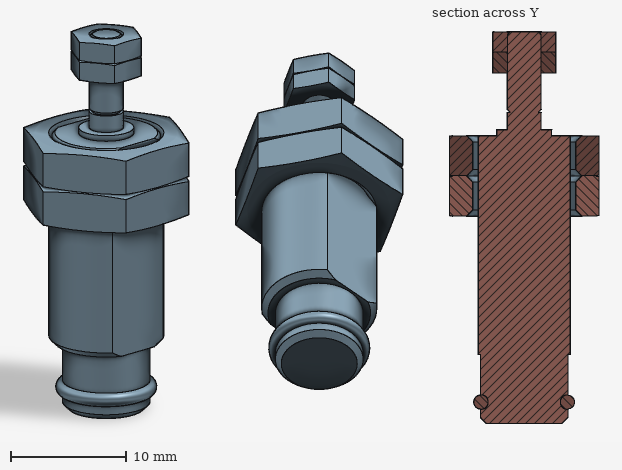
import cadquery as cq
import math

TOTAL_HEIGHT = 34.0

PLUG_DIA = 7.6
PLUG_CHAMFER = 0.5
RING_OUTER_DIA = 8.77
RING_CORD_DIA = 1.22
RING_Z = 1.87

BARREL_DIA = 10.0
BARREL_MINOR_DIA = 8.9
BARREL_FLATS_WIDTH = 8.0
BARREL_BOTTOM_Z = 6.0
BARREL_TOP_Z = 25.0

COLLAR_DIA = 4.8
COLLAR_TOP_Z = 25.5
ROD_DIA = 3.0
ROD_MINOR_DIA = 2.45
STUD_BOTTOM_Z = 27.0

LARGE_NUT_ACROSS_FLATS = 13.0
LARGE_NUT_HEIGHT = 3.5
LARGE_NUT_FACE_DIA = 12.4
LARGE_NUT_CORNER_DROP = 0.25

SMALL_NUT_ACROSS_FLATS = 5.5
SMALL_NUT_HEIGHT = 1.8
SMALL_NUT_FACE_DIA = 5.27
SMALL_NUT_CORNER_DROP = 0.085

NUTS_PER_STACK = 2


def revolve_profile(points):
    """Revolve a closed (radius, z) outline about the Z axis."""
    return cq.Workplane("XZ").polyline(points).close().revolve(360, (0, 0, 0), (0, 1, 0))


def chamfered_cylinder(dia, end_dia, bottom, top):
    """Cylinder whose two ends narrow to end_dia with 45 degree chamfers."""
    chamfer = (dia - end_dia) / 2
    height = top - bottom
    return cq.Workplane("XY").workplane(offset=bottom).circle(dia / 2).extrude(height).edges().chamfer(chamfer)


def make_seal_ring():
    cord_radius = RING_CORD_DIA / 2
    center_radius = RING_OUTER_DIA / 2 - cord_radius
    ring = cq.Solid.makeTorus(center_radius, cord_radius)
    return cq.Workplane(ring.translate(cq.Vector(0, 0, RING_Z)))


def make_barrel():
    """Chamfered barrel with a flat on its -X and +X sides."""
    barrel = chamfered_cylinder(BARREL_DIA, BARREL_MINOR_DIA, BARREL_BOTTOM_Z, BARREL_TOP_Z)
    flats = cq.Workplane("XY").box(BARREL_FLATS_WIDTH, BARREL_DIA, TOTAL_HEIGHT, (True, True, False))
    return barrel.intersect(flats)


def make_plunger_body(seal_ring):
    """Plug, barrel, collar and rod in one piece, with a seat for the seal ring."""
    plug = (
        cq.Workplane("XY")
        .circle(PLUG_DIA / 2)
        .extrude(BARREL_BOTTOM_Z)
        .faces("<Z")
        .chamfer(PLUG_CHAMFER)
        .cut(seal_ring)
    )
    collar = (
        cq.Workplane("XY")
        .workplane(offset=BARREL_TOP_Z)
        .circle(COLLAR_DIA / 2)
        .extrude(COLLAR_TOP_Z - BARREL_TOP_Z)
    )
    rod = (
        cq.Workplane("XY")
        .workplane(offset=COLLAR_TOP_Z)
        .circle(ROD_DIA / 2)
        .extrude(STUD_BOTTOM_Z - COLLAR_TOP_Z)
    )
    stud = chamfered_cylinder(ROD_DIA, ROD_MINOR_DIA, STUD_BOTTOM_Z, TOTAL_HEIGHT)
    return plug.union(make_barrel()).union(collar).union(rod).union(stud)


def make_nut(across_flats, height, face_dia, corner_drop, thread_dia, bore_dia):
    """Hex nut standing on Z = 0 with corners on the Y axis and both bore ends countersunk."""
    corner_radius = across_flats / math.sqrt(3)
    hexagon = (
        cq.Workplane("XY")
        .polygon(6, 2 * corner_radius)
        .extrude(height)
        .rotate((0, 0, 0), (0, 0, 1), 90)
    )
    crown = revolve_profile([
        (0, 0),
        (face_dia / 2, 0),
        (corner_radius, corner_drop),
        (corner_radius, height - corner_drop),
        (face_dia / 2, height),
        (0, height),
    ])
    countersink = (thread_dia - bore_dia) / 2
    bore = revolve_profile([
        (0, 0),
        (thread_dia / 2, 0),
        (bore_dia / 2, countersink),
        (bore_dia / 2, height - countersink),
        (thread_dia / 2, height),
        (0, height),
    ])
    return hexagon.intersect(crown).cut(bore)


def stack_nuts(nut, height, top, body):
    """Copies of a nut stacked downwards from top, each fitted to the body inside it."""
    stack = []
    for index in range(NUTS_PER_STACK):
        bottom = top - (index + 1) * height
        stack.append(nut.translate((0, 0, bottom)).cut(body).val())
    return stack


seal_ring = make_seal_ring()
plunger_body = make_plunger_body(seal_ring)

large_nut = make_nut(
    LARGE_NUT_ACROSS_FLATS, LARGE_NUT_HEIGHT, LARGE_NUT_FACE_DIA,
    LARGE_NUT_CORNER_DROP, BARREL_DIA, BARREL_MINOR_DIA,
)
large_nuts = stack_nuts(large_nut, LARGE_NUT_HEIGHT, BARREL_TOP_Z, plunger_body)

small_nut = make_nut(
    SMALL_NUT_ACROSS_FLATS, SMALL_NUT_HEIGHT, SMALL_NUT_FACE_DIA,
    SMALL_NUT_CORNER_DROP, ROD_DIA, ROD_MINOR_DIA,
)
small_nuts = stack_nuts(small_nut, SMALL_NUT_HEIGHT, TOTAL_HEIGHT, plunger_body)

result = cq.Compound.makeCompound([plunger_body.val(), seal_ring.val(), *large_nuts, *small_nuts])